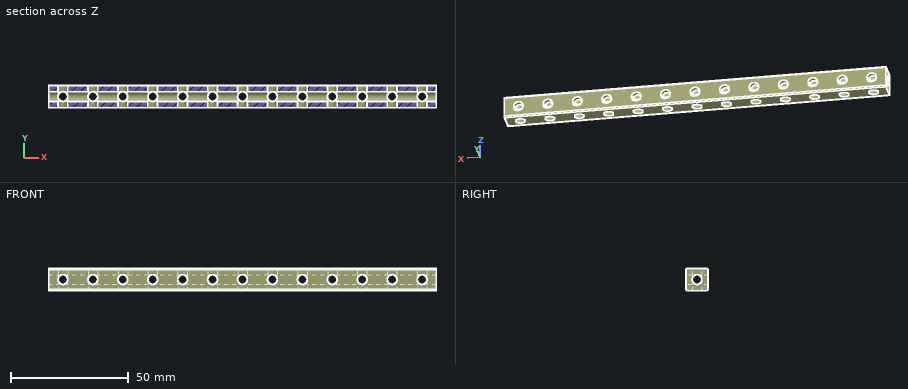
import cadquery as cq
import math

INCH = 25.4

bar_length = 6.48 * INCH
bar_width = 0.375 * INCH
chamfer_face_width = 0.8
edge_chamfer = chamfer_face_width / math.sqrt(2)

hole_count = 13
hole_pitch = 0.5 * INCH
hole_diameter = 0.159 * INCH

bore_diameter = hole_diameter


def make_bar():
    """Square bar with its four long edges chamfered."""
    bar = cq.Workplane("XY").box(bar_length, bar_width, bar_width)
    return bar.edges("|X").chamfer(edge_chamfer)


def cross_holes(plane):
    """Row of cutting cylinders through the bar, normal to the given plane."""
    return (
        cq.Workplane(plane)
        .rarray(hole_pitch, 1, hole_count, 1)
        .circle(hole_diameter / 2)
        .extrude(bar_width, both=True)
    )


def end_bore():
    """Cutting cylinder along the axis of the bar."""
    return cq.Workplane("YZ").circle(bore_diameter / 2).extrude(bar_length, both=True)


result = make_bar()
for hole_plane in ("XY", "XZ"):
    result = result.cut(cross_holes(hole_plane))
result = result.cut(end_bore())